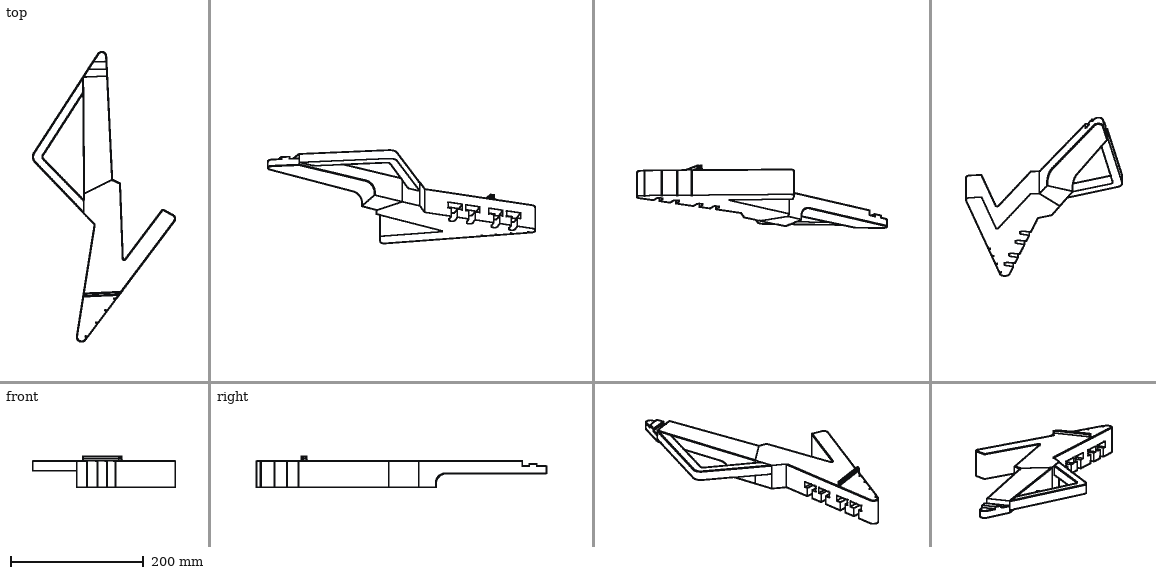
import cadquery as cq
import math

TOP_Z = 40.0
BRIDGE_TOP_Z = 47.0
FRAME_BOTTOM_Z = 25.0
NECK_BOTTOM_Z = 20.5
HEAD_TOP_Z = 32.5
NUT_TOP_Z = 36.0

HEAD_APEX = (110.5, 452.5)
NECK_END_LEFT_Y = 399.0
NECK_END_RIGHT_Y = 401.0
FRAME_APEX = (-3.0, 277.5)
FRAME_INNER_APEX = (14.0, 278.5)
FRAME_INNER_TOP_Y = 374.5
FRAME_INNER_BOTTOM_Y = 213.5
WAIST_CORNER = (77.5, 193.5)
JOINT_LEFT_Y = 223.0
JOINT_RIGHT = (120.5, 244.5)
SHOULDER = (132.0, 239.0)
WAIST_NOTCH = (93.2, 177.2)
TAIL_APEX = (61.5, -21.0)
ARM_OUTER = (218.5, 187.8)
ARM_INNER = (196.0, 200.0)
THROAT = (136.5, 121.0)

HEAD_TIP_RADIUS = 7.0
TAIL_TIP_RADIUS = 7.5
ARM_OUTER_RADIUS = 6.5
ARM_INNER_RADIUS = 1.8
THROAT_RADIUS = 1.8
SHOULDER_RADIUS = 1.5
FRAME_OUTER_RADIUS = 12.0
FRAME_INNER_RADIUS = 4.5

EDGE_CHAMFER = 1.0

HEEL_Y = 271.0
HEEL_RADIUS = 15.0

NUT_FRONT_Y = 411.5
NUT_BACK_CENTRE = (109.5, 422.8)

STRING_TILT = 2.5
BRIDGE_CENTRE = (104.0, 71.8)
BRIDGE_WIDTH = 5.3
BRIDGE_GROOVE_WIDTH = 2.5
BRIDGE_GROOVE_DEPTH = 4.0
BRIDGE_FOOT_RADIUS = 2.0

TUNERS = [(129.0, 1), (101.5, 1), (65.0, -1), (37.5, -1)]
TUNER_WIDTH = 22.5
TUNER_BOTTOM_Z = 14.0
TUNER_TOP_Z = 23.0
TUNER_DEPTH = 15.8
STEM_WIDTH = 9.5
STEM_OFFSET = 1.5
NOTCH_WIDTH = 8.0
NOTCH_HEIGHT = 2.5
NOTCH_EXTRA_DEPTH = 4.5

STRING_SLOT_XS = [82.3, 98.0, 112.0, 125.0]
STRING_SLOT_WIDTH = 1.2
STRING_SLOT_DEPTH = 3.0

CLEAR = 219.0
MOUTH_CLEAR = 4.5


def prism(points, bottom, top):
    """Straight prism over a closed plan outline."""
    return cq.Workplane("XY").workplane(offset=bottom).polyline(points).close().extrude(top - bottom)


def round_corner(body, corner, height, radius):
    """Round the vertical edge standing at a plan corner."""
    nearest = cq.selectors.NearestToPointSelector((corner[0], corner[1], height))
    return body.edges("|Z").edges(nearest).fillet(radius)


def chamfer_edges(body, *points):
    """Chamfer the horizontal edges centred nearest to the points, and the edges tangent to them."""
    picked = body.edges(cq.selectors.NearestToPointSelector(points[0]))
    for point in points[1:]:
        picked = picked.add(body.edges(cq.selectors.NearestToPointSelector(point)))
    return picked.chamfer(EDGE_CHAMFER)


def edge_middle(start, end, height):
    """Middle of the horizontal edge between two plan points."""
    return ((start[0] + end[0]) / 2, (start[1] + end[1]) / 2, height)


def direction(start, end):
    """Angle in degrees from X of the line from start to end."""
    return math.degrees(math.atan2(end[1] - start[1], end[0] - start[0]))


def x_on_line(start, end, y):
    """X of the line through start and end at the given Y."""
    return start[0] + (end[0] - start[0]) * (y - start[1]) / (end[1] - start[1])


def y_on_line(start, end, x):
    """Y of the line through start and end at the given X."""
    return start[1] + (end[1] - start[1]) * (x - start[0]) / (end[0] - start[0])


NECK_CORNER = (x_on_line(FRAME_APEX, HEAD_APEX, NECK_END_LEFT_Y), NECK_END_LEFT_Y)


def neck_wall(y):
    """Point on the left wall of the neck at the given Y."""
    return (x_on_line(WAIST_CORNER, NECK_CORNER, y), y)


JOINT_LEFT = neck_wall(JOINT_LEFT_Y)


def heel_clearance():
    """Space under the neck, with the rounded run-in to the heel."""
    length = HEAD_APEX[1] - HEEL_Y
    space = cq.Workplane("XY").box(CLEAR, length, NECK_BOTTOM_Z, centered=(True, False, False))
    space = space.translate((HEAD_APEX[0], HEEL_Y, 0))
    return space.edges("|X and >Z and <Y").fillet(HEEL_RADIUS)


def above_head():
    """Space over the head, leaving the nut standing."""
    left, right = HEAD_APEX[0] - CLEAR / 2, HEAD_APEX[0] + CLEAR / 2
    neck_end_right = (x_on_line(JOINT_RIGHT, HEAD_APEX, NECK_END_RIGHT_Y), NECK_END_RIGHT_Y)
    space = prism(
        [
            (left, y_on_line(NECK_CORNER, neck_end_right, left)),
            (right, y_on_line(NECK_CORNER, neck_end_right, right)),
            (right, HEAD_APEX[1]),
            (left, HEAD_APEX[1]),
        ],
        HEAD_TOP_Z,
        TOP_Z,
    )
    back_slope = math.tan(math.radians(STRING_TILT))
    nut = prism(
        [
            (left, NUT_FRONT_Y),
            (right, NUT_FRONT_Y),
            (right, NUT_BACK_CENTRE[1] + back_slope * (right - NUT_BACK_CENTRE[0])),
            (left, NUT_BACK_CENTRE[1] + back_slope * (left - NUT_BACK_CENTRE[0])),
        ],
        HEAD_TOP_Z,
        NUT_TOP_Z,
    )
    return space.cut(nut)


def make_neck():
    neck = prism([HEAD_APEX, NECK_CORNER, JOINT_LEFT, JOINT_RIGHT], 0, TOP_Z)
    neck = round_corner(neck, HEAD_APEX, TOP_Z / 2, HEAD_TIP_RADIUS)
    neck = neck.cut(heel_clearance()).cut(above_head())
    nut_y = (NUT_FRONT_Y + NUT_BACK_CENTRE[1]) / 2
    gap_y = (NECK_END_LEFT_Y + NUT_FRONT_Y) / 2
    tip_y = NUT_BACK_CENTRE[1] + HEAD_TIP_RADIUS / 2
    underside_y = (HEEL_Y + HEAD_APEX[1]) / 2
    return chamfer_edges(
        neck,
        edge_middle(NECK_CORNER, JOINT_LEFT, TOP_Z),
        edge_middle(JOINT_RIGHT, (HEAD_APEX[0], NECK_END_RIGHT_Y), TOP_Z),
        (x_on_line(NECK_CORNER, HEAD_APEX, nut_y), nut_y, NUT_TOP_Z),
        (x_on_line(JOINT_RIGHT, HEAD_APEX, nut_y), nut_y, NUT_TOP_Z),
        (x_on_line(NECK_CORNER, HEAD_APEX, gap_y), gap_y, HEAD_TOP_Z),
        (x_on_line(JOINT_RIGHT, HEAD_APEX, gap_y), gap_y, HEAD_TOP_Z),
        (x_on_line(JOINT_RIGHT, HEAD_APEX, tip_y), tip_y, HEAD_TOP_Z),
        (x_on_line(JOINT_RIGHT, HEAD_APEX, underside_y), underside_y, NECK_BOTTOM_Z),
        (*neck_wall(underside_y), NECK_BOTTOM_Z),
    )


def make_frame():
    """Bent bar that leans against the left wall of the neck and the main body."""
    inner_top = neck_wall(FRAME_INNER_TOP_Y)
    inner_bottom = neck_wall(FRAME_INNER_BOTTOM_Y)
    outline = [NECK_CORNER, FRAME_APEX, WAIST_CORNER, inner_bottom, FRAME_INNER_APEX, inner_top]
    frame = prism(outline, FRAME_BOTTOM_Z, TOP_Z)
    middle = (FRAME_BOTTOM_Z + TOP_Z) / 2
    frame = round_corner(frame, FRAME_APEX, middle, FRAME_OUTER_RADIUS)
    frame = round_corner(frame, FRAME_INNER_APEX, middle, FRAME_INNER_RADIUS)
    return chamfer_edges(
        frame,
        edge_middle(NECK_CORNER, FRAME_APEX, TOP_Z),
        edge_middle(FRAME_INNER_APEX, inner_top, TOP_Z),
    )


def main_prism(height):
    """Plan shape of the main body with its corners rounded."""
    outline = [
        JOINT_LEFT,
        WAIST_CORNER,
        WAIST_NOTCH,
        TAIL_APEX,
        ARM_OUTER,
        ARM_INNER,
        THROAT,
        SHOULDER,
        JOINT_RIGHT,
    ]
    rounded_corners = [
        (TAIL_APEX, TAIL_TIP_RADIUS),
        (ARM_OUTER, ARM_OUTER_RADIUS),
        (ARM_INNER, ARM_INNER_RADIUS),
        (THROAT, THROAT_RADIUS),
        (SHOULDER, SHOULDER_RADIUS),
    ]
    body = prism(outline, 0, height)
    for corner, radius in rounded_corners:
        body = round_corner(body, corner, height / 2, radius)
    return body


def make_bridge():
    """Grooved bar across the body, its ends flush with the side walls."""
    half = BRIDGE_WIDTH / 2
    foot = half + BRIDGE_FOOT_RADIUS
    groove = BRIDGE_GROOVE_WIDTH / 2
    foot_top = TOP_Z + BRIDGE_FOOT_RADIUS
    floor = BRIDGE_TOP_Z - BRIDGE_GROOVE_DEPTH
    arc_gap = BRIDGE_FOOT_RADIUS * (1 - math.sqrt(0.5))
    bar = (
        cq.Workplane("YZ")
        .moveTo(-foot, TOP_Z)
        .threePointArc((-half - arc_gap, TOP_Z + arc_gap), (-half, foot_top))
        .lineTo(-half, BRIDGE_TOP_Z)
        .lineTo(-groove, BRIDGE_TOP_Z)
        .lineTo(-groove, floor)
        .lineTo(groove, floor)
        .lineTo(groove, BRIDGE_TOP_Z)
        .lineTo(half, BRIDGE_TOP_Z)
        .lineTo(half, foot_top)
        .threePointArc((half + arc_gap, TOP_Z + arc_gap), (foot, TOP_Z))
        .close()
        .extrude(CLEAR / 2, both=True)
    )
    bar = bar.rotate((0, 0, 0), (0, 0, 1), STRING_TILT)
    bar = bar.translate((BRIDGE_CENTRE[0], BRIDGE_CENTRE[1], 0))
    return bar.intersect(main_prism(BRIDGE_TOP_Z))


def block(near, far, side_from, side_to, bottom, top):
    """Box given by its X, Y and Z limits."""
    sides = [(near, side_from), (far, side_from), (far, side_to), (near, side_to)]
    return prism(sides, bottom, top)


def tuner_recess(wall_y, notch_side):
    """T-shaped recess square to the left wall, its stem open at the underside."""
    half = TUNER_WIDTH / 2
    head = block(-MOUTH_CLEAR, TUNER_DEPTH, -half, half, TUNER_BOTTOM_Z, TUNER_TOP_Z)
    notch = block(
        0,
        TUNER_DEPTH + NOTCH_EXTRA_DEPTH,
        notch_side * (half - NOTCH_WIDTH),
        notch_side * half,
        TUNER_TOP_Z - NOTCH_HEIGHT,
        TUNER_TOP_Z,
    )
    stem_y = notch_side * STEM_OFFSET
    stem_half = STEM_WIDTH / 2
    stem = block(-MOUTH_CLEAR, TUNER_DEPTH - stem_half, stem_y - stem_half, stem_y + stem_half, 0, TUNER_BOTTOM_Z)
    stem_end = cq.Workplane("XY").center(TUNER_DEPTH - stem_half, stem_y).circle(stem_half).extrude(TUNER_BOTTOM_Z)
    recess = head.union(notch).union(stem).union(stem_end)
    inward = direction(TAIL_APEX, WAIST_NOTCH) - 90
    wall_x = x_on_line(TAIL_APEX, WAIST_NOTCH, wall_y)
    return recess.rotate((0, 0, 0), (0, 0, 1), inward).translate((wall_x, wall_y, 0))


def string_slot(wall_x):
    """Full-height round-ended slot square to the diagonal wall."""
    slot_length = 2 * STRING_SLOT_DEPTH
    slot = cq.Workplane("XY").slot2D(slot_length, STRING_SLOT_WIDTH).extrude(TOP_Z)
    across = direction(TAIL_APEX, ARM_OUTER) + 90
    wall_y = y_on_line(TAIL_APEX, ARM_OUTER, wall_x)
    return slot.rotate((0, 0, 0), (0, 0, 1), across).translate((wall_x, wall_y, 0))


def make_main_body():
    body = main_prism(TOP_Z)
    for wall_x in STRING_SLOT_XS:
        body = body.cut(string_slot(wall_x))
    body = chamfer_edges(
        body,
        edge_middle(WAIST_NOTCH, TAIL_APEX, TOP_Z),
        edge_middle(ARM_INNER, THROAT, TOP_Z),
    )
    body = body.union(make_bridge())
    for wall_y, notch_side in TUNERS:
        body = body.cut(tuner_recess(wall_y, notch_side))
    return body


neck = make_neck()
frame = make_frame()
main_body = make_main_body()

result = cq.Compound.makeCompound([body.solids().val() for body in (neck, frame, main_body)])